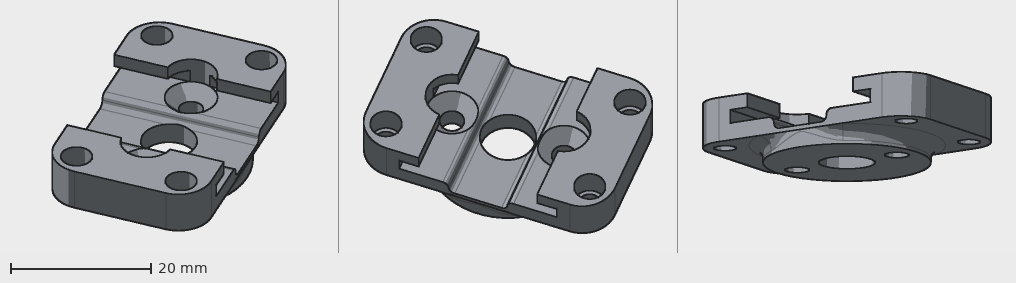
import cadquery as cq

WIDTH = 24.0
LENGTH = 38.0
HEIGHT = 9.0
CORNER_RADIUS = 5.0

PLATE_BOTTOM = 2.55
CHANNEL_FLOOR = 3.2
LEDGE = 5.0
LIP_BOTTOM = 6.95

SLOT_HALF = WIDTH / 2
MOUTH_HALF = 9.05
STEP_HALF = 4.5
STEP_RADIUS = (LEDGE - CHANNEL_FLOOR) / 2

BOSS_INSET = 0.02
BOSS_DIAMETER = WIDTH - 2 * BOSS_INSET
BOSS_FILLET = 2.0
MATCH_TOLERANCE = 0.005

CENTER_HOLE_DIAMETER = 8.0
SCREW_Y = 8.55
SCREW_DIAMETER = 3.5
SCREW_HEAD_DIAMETER = 7.55
CORNER_HOLE_X = 8.0
CORNER_HOLE_Y = 15.55
CORNER_HOLE_DIAMETER = 3.2
CORNER_BORE_DIAMETER = 4.5
CORNER_BORE_FLOOR = LEDGE


def upright_cylinder(x, y, diameter, bottom, top):
    """Vertical cylinder between two heights."""
    return cq.Workplane("XY", origin=(x, y, bottom)).circle(diameter / 2).extrude(top - bottom)


def make_body():
    """Rounded plate standing on a boss that flares into its underside."""
    plate = (
        cq.Workplane("XY", origin=(0, 0, PLATE_BOTTOM))
        .rect(WIDTH, LENGTH)
        .extrude(HEIGHT - PLATE_BOTTOM)
        .edges("|Z")
        .fillet(CORNER_RADIUS)
    )
    body = plate.union(upright_cylinder(0, 0, BOSS_DIAMETER, 0, PLATE_BOTTOM))
    boss_rim = [
        edge
        for edge in body.edges("%CIRCLE").vals()
        if abs(edge.Center().z - PLATE_BOTTOM) < MATCH_TOLERANCE
        and abs(edge.radius() - BOSS_DIAMETER / 2) < MATCH_TOLERANCE
    ]
    return body.newObject(boss_rim).fillet(BOSS_FILLET)


def make_channel():
    """T-shaped channel with a rounded step down to its central floor."""
    r = STEP_RADIUS
    step_middle = LEDGE - r
    return (
        cq.Workplane("YZ", origin=(-WIDTH / 2, 0, 0))
        .moveTo(-MOUTH_HALF, HEIGHT)
        .lineTo(-MOUTH_HALF, LIP_BOTTOM)
        .lineTo(-SLOT_HALF, LIP_BOTTOM)
        .lineTo(-SLOT_HALF, LEDGE)
        .lineTo(-STEP_HALF - r, LEDGE)
        .radiusArc((-STEP_HALF, step_middle), r)
        .radiusArc((-STEP_HALF + r, CHANNEL_FLOOR), -r)
        .lineTo(STEP_HALF - r, CHANNEL_FLOOR)
        .radiusArc((STEP_HALF, step_middle), -r)
        .radiusArc((STEP_HALF + r, LEDGE), r)
        .lineTo(SLOT_HALF, LEDGE)
        .lineTo(SLOT_HALF, LIP_BOTTOM)
        .lineTo(MOUTH_HALF, LIP_BOTTOM)
        .lineTo(MOUTH_HALF, HEIGHT)
        .close()
        .extrude(WIDTH)
    )


def make_screw_hole(y):
    """Screw hole with a 90 degree countersink in the ledge and head clearance above."""
    sink_depth = (SCREW_HEAD_DIAMETER - SCREW_DIAMETER) / 2
    sink = cq.Solid.makeCone(
        SCREW_DIAMETER / 2,
        SCREW_HEAD_DIAMETER / 2,
        sink_depth,
        pnt=cq.Vector(0, y, LEDGE - sink_depth),
    )
    shank = upright_cylinder(0, y, SCREW_DIAMETER, 0, LEDGE)
    clearance = upright_cylinder(0, y, SCREW_HEAD_DIAMETER, LEDGE, HEIGHT)
    return shank.union(cq.Workplane(sink)).union(clearance)


def make_corner_hole(x, y):
    """Through hole with a wide counterbore from the top."""
    through = upright_cylinder(x, y, CORNER_HOLE_DIAMETER, PLATE_BOTTOM, HEIGHT)
    bore = upright_cylinder(x, y, CORNER_BORE_DIAMETER, CORNER_BORE_FLOOR, HEIGHT)
    return through.union(bore)


result = make_body().cut(make_channel())
result = result.cut(upright_cylinder(0, 0, CENTER_HOLE_DIAMETER, 0, HEIGHT))
for y_side in (-1, 1):
    result = result.cut(make_screw_hole(y_side * SCREW_Y))
    for x_side in (-1, 1):
        result = result.cut(make_corner_hole(x_side * CORNER_HOLE_X, y_side * CORNER_HOLE_Y))